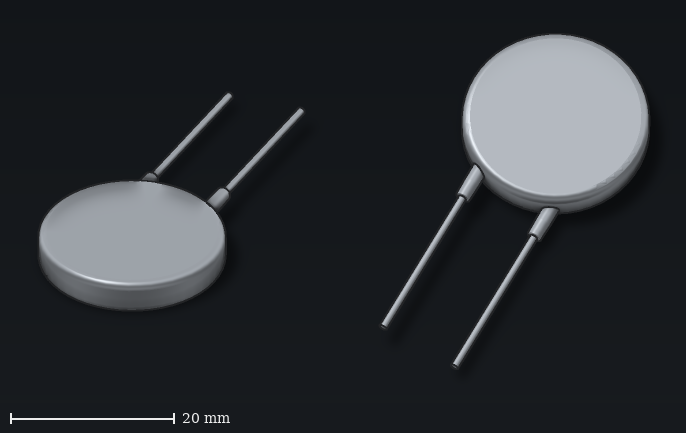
import cadquery as cq

body_diameter = 23.0
body_radius = body_diameter / 2
body_thickness = 4.4
edge_fillet = 1.0

overall_length = 46.0
lead_spacing = 10.0
lead_height_offset = 0.5
lead_diameter = 1.0
lead_end_y = overall_length - body_radius

sleeve_diameter = 2.0
sleeve_tip_diameter = 1.85
sleeve_taper_length = 2.2
sleeve_end_y = 14.5
sleeve_taper_start_y = sleeve_end_y - sleeve_taper_length
sleeve_tip_fillet = 0.15

root_y = 6.9


def make_body():
    disc = cq.Workplane("XY").circle(body_radius).extrude(body_thickness / 2, both=True)
    return disc.faces("|Z").edges().fillet(edge_fillet)


def section_plane(x, y, z):
    """Workplane at the given point whose normal points along +Y."""
    return cq.Workplane(cq.Plane(origin=(x, y, z), xDir=(1, 0, 0), normal=(0, 1, 0)))


def make_lead(x, z):
    """Wire with its sleeve, running along +Y at the given X and Z."""
    straight = (
        section_plane(x, root_y, z)
        .circle(sleeve_diameter / 2)
        .extrude(sleeve_taper_start_y - root_y)
    )
    taper = (
        section_plane(x, sleeve_taper_start_y, z)
        .circle(sleeve_diameter / 2)
        .workplane(offset=sleeve_taper_length)
        .circle(sleeve_tip_diameter / 2)
        .loft()
        .faces(">Y").edges().fillet(sleeve_tip_fillet)
    )
    wire = section_plane(x, root_y, z).circle(lead_diameter / 2).extrude(lead_end_y - root_y)
    return straight.union(taper).union(wire)


result = make_body()
for side in (-1, 1):
    result = result.union(make_lead(side * lead_spacing / 2, side * lead_height_offset))